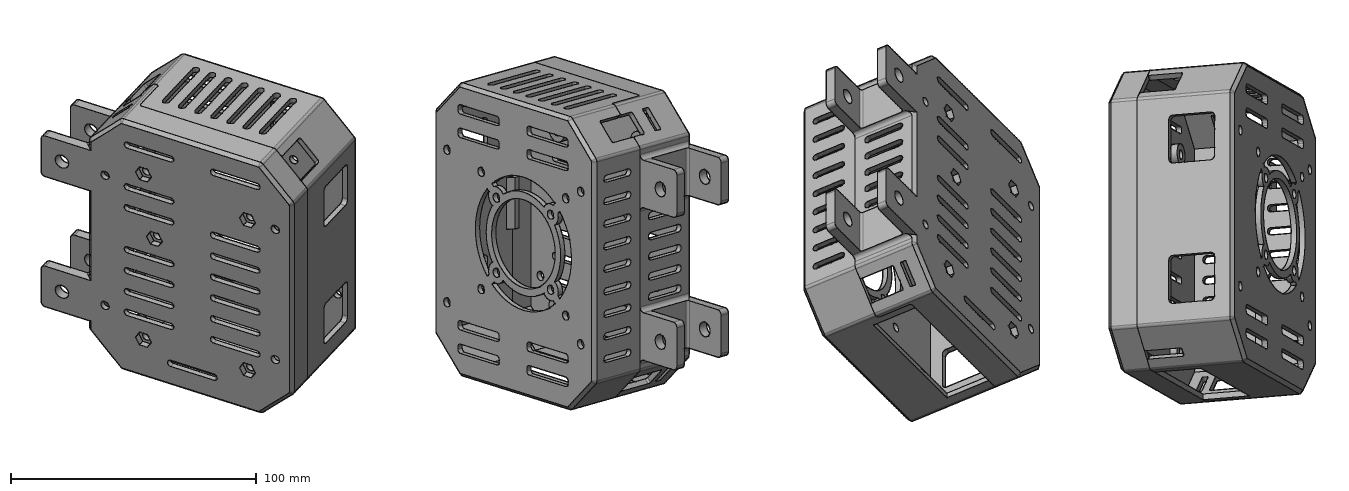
import cadquery as cq
import math

width = 95.0
depth = 54.8
height = 125.0
corner_cut = 15.0
corner_radius = 2.0
edge_chamfer = 1.5
wall = 2.4

split_left = 29.0
split_right = 12.8
split_step_x = 17.0
split_radius = 1.0

lug_reach = 21.7
lug_height = 20.3
lug_thickness = 4.2
lug_corner = 2.0
lug_hole = 6.2
lug_hole_x = -12.0
lug_levels = (30.0, 95.0)
pad = 2.0
pad_root = 1.0

screw_hole = 3.8
screw_inset = 8.0

board_x = 25.8
board_z = 19.0
board_offsets = ((0, 0), (0, 82.55), (5.08, 52.07), (48.26, 1.27), (48.26, 76.2))
board_points = [(board_x + dx, board_z + dz) for dx, dz in board_offsets]
nut_flats = 6.3
nut_pocket_depth = 2.8
standoff_diameter = 9.0
standoff_top = 5.5

slot_width = 3.0
slot_length = 23.0
front_columns = (28.4, 68.4)
front_pitch = 10.45
front_first_row = 30.0
left_rows = (0, 1, 2, 3, 5, 6, 8)
right_rows = (0, 1, 2, 3, 4, 5, 8)
low_slot = (48.5, 11.5)

base_side_slot = (6.0, 24.3)
base_side_width = 3.3
base_side_pitch = 8.6
base_side_count = 5
cover_side_slot = (34.2, 49.3)
cover_side_pitch = 9.6
cover_side_count = 9
top_slot = (19.2, 47.4)
top_slot_pitch = 7.5
top_slot_count = 7

fan_x = 41.8
fan_z = 65.2
fan_bore_radius = 18.8
fan_ring_radius = 22.0
fan_outer_radius = 28.4
small_fan_spacing = 32.0
large_fan_spacing = 50.0
fan_boss_radius = 4.6
fan_spoke = 4.0

back_columns = (27.6, 68.3)
back_slot = (24.4, 4.0)
back_corner = 1.5
back_rows = (12.0, 22.0, 104.0, 114.0)

port_size = 20.0
port_y = 36.6
port_corner = 2.0
port_levels = (33.3, 91.8)

floor_opening = (20.0, 75.0)
floor_opening_top = 33.0

catch_y = (10.9, 16.0)
catch_lead = 2.8
catch_height = 22.0
catch_depth = 2.0

window_corner = 0.8
slit_corner = 0.4
window_span = (3.8, 11.4)
upper_window_base = (22.8, split_left)
upper_window_cover = (split_left, 40.9)
upper_slit = (13.7, 16.9)
lower_window = (12.9, split_left)
lower_slit = (7.0, 9.6)
right_upper_span = (3.0, 12.0)
right_lower_span = (8.5, 11.4)
right_upper_window = (split_right, 28.2)
right_lower_window = (split_right, 29.0)

middle_z = height / 2


def outline(inset):
    """Cut-corner block along Y, set in from the envelope by a wall thickness."""
    cut = corner_cut - inset * (2 - math.sqrt(2))
    return (
        cq.Workplane("XZ")
        .center(width / 2, middle_z)
        .rect(width - 2 * inset, height - 2 * inset)
        .extrude(-depth)
        .edges("|Y")
        .chamfer(cut)
    )


def block(x0, x1, y0, y1, z0, z1):
    return cq.Workplane("XY").box(x1 - x0, y1 - y0, z1 - z0, centered=False).translate((x0, y0, z0))


def along_y(y0, y1, points):
    """XZ workplane at y0 with points given as (x, z), and the extrusion length to y1."""
    return cq.Workplane("XZ", origin=(0, y0, 0)).pushPoints(points), -(y1 - y0)


def rods(y0, y1, points, diameter):
    plane, length = along_y(y0, y1, points)
    return plane.circle(diameter / 2).extrude(length)


def slots_y(y0, y1, points):
    plane, length = along_y(y0, y1, points)
    return plane.slot2D(slot_length, slot_width).extrude(length)


def left_wall_slots(span, slot, pitch, count):
    """Horizontal slots through the left wall, stacked about mid height."""
    plane = cq.Workplane("YZ", origin=(-pad, (span[0] + span[1]) / 2, middle_z))
    return plane.rarray(1, pitch, 1, count).slot2D(span[1] - span[0], slot).extrude(2 * pad + wall)


def slit(span, y0, y1):
    """Closed window cutter about the origin, with span as its X range on the sloped wall."""
    length = (span[1] - span[0]) * math.sqrt(2)
    cutter = cq.Workplane("XY", origin=(0, 0, -wall)).center(0, (y0 + y1) / 2)
    return cutter.rect(length, y1 - y0).extrude(2 * wall).edges("|Z").fillet(slit_corner)


def notch(span, closed_y, open_y):
    """Window cutter open at the split line, where its mouth is rounded outwards."""
    half = (span[1] - span[0]) / math.sqrt(2)
    radius = math.copysign(window_corner, open_y - closed_y)
    return (
        cq.Workplane("XY", origin=(0, 0, -wall))
        .moveTo(-half - window_corner, open_y)
        .radiusArc((-half, open_y - radius), radius)
        .lineTo(-half, closed_y + radius)
        .radiusArc((-half + window_corner, closed_y), -radius)
        .lineTo(half - window_corner, closed_y)
        .radiusArc((half, closed_y + radius), -radius)
        .lineTo(half, open_y - radius)
        .radiusArc((half + window_corner, open_y), radius)
        .close()
        .extrude(2 * wall)
    )


def on_corner(cutter, span, x_side, z_side):
    """Lay a window cutter on the sloped wall at the given X and Z sides (-1 or 1)."""
    inward = (span[0] + span[1]) / 2
    x = inward if x_side < 0 else width - inward
    z = corner_cut - inward if z_side < 0 else height - corner_cut + inward
    tilt = 45 * x_side * z_side
    return cutter.rotate((0, 0, 0), (0, 1, 0), tilt).translate((x, 0, z))


def make_shell():
    outer = outline(0).edges("|Y").fillet(corner_radius)
    outer = outer.faces("<Y or >Y").chamfer(edge_chamfer)
    cavity = outline(wall).intersect(block(0, width, wall, depth - wall, 0, height))
    return outer.cut(cavity)


def base_region():
    """Space below the stepped split line."""
    profile = (
        cq.Workplane("XY", origin=(0, 0, -1))
        .moveTo(-1, -1)
        .lineTo(width + 1, -1)
        .lineTo(width + 1, split_right)
        .lineTo(split_step_x, split_right)
        .lineTo(split_step_x, split_left)
        .lineTo(-1, split_left)
        .close()
        .extrude(height + 2)
    )
    inner_corner = cq.selectors.NearestToPointSelector((split_step_x, split_right, middle_z))
    outer_corner = cq.selectors.NearestToPointSelector((split_step_x, split_left, middle_z))
    return profile.edges(inner_corner).fillet(split_radius).edges(outer_corner).fillet(split_radius)


def make_lug_pair(level):
    """Two plates joined by a pad that flares into the left wall."""
    half = lug_height / 2
    flare = (
        cq.Workplane("XZ")
        .moveTo(0, level - half - pad)
        .radiusArc((-pad, level - half), -pad)
        .lineTo(-pad, level + half)
        .radiusArc((0, level + half + pad), -pad)
        .lineTo(wall, level + half + pad)
        .lineTo(wall, level - half - pad)
        .close()
        .extrude(-split_left)
    )
    keep = (
        cq.Workplane("XY")
        .moveTo(-pad, edge_chamfer + pad)
        .lineTo(wall, edge_chamfer - wall)
        .lineTo(wall, split_left)
        .lineTo(-pad, split_left)
        .close()
        .extrude(height)
    )
    lugs = flare.intersect(keep)
    for y in (0, split_left - lug_thickness):
        lug = block(-lug_reach, edge_chamfer, y, y + lug_thickness, level - half, level + half)
        lug = lug.edges("|Y and <X").fillet(lug_corner)
        lugs = lugs.union(lug)
    lugs = lugs.cut(rods(-1, split_left + 1, [(lug_hole_x, level)], lug_hole))
    root_y = (lug_thickness, split_left - lug_thickness)
    for y in root_y:
        lugs = lugs.edges(cq.selectors.NearestToPointSelector((-pad, y, level))).fillet(pad_root)
    return lugs


def make_catch():
    """Ledge behind the right wall with a sloped lead-in above the split."""
    inside = width - wall
    return (
        cq.Workplane("XY", origin=(0, 0, middle_z - catch_height / 2))
        .moveTo(inside, catch_y[0])
        .lineTo(inside - catch_depth, catch_y[0])
        .lineTo(inside - catch_depth, catch_y[1] - catch_lead)
        .lineTo(inside, catch_y[1])
        .close()
        .extrude(catch_height)
    )


def front_vents():
    first, pitch = front_first_row, front_pitch
    points = [(front_columns[0], first + row * pitch) for row in left_rows]
    points += [(front_columns[1], first + row * pitch) for row in right_rows]
    return slots_y(-1, wall + 1, points + [low_slot])


def make_standoffs():
    return rods(0, standoff_top, board_points, standoff_diameter)


def nut_pockets():
    plane, length = along_y(-1, nut_pocket_depth, board_points)
    hexes = plane.polygon(6, nut_flats / math.cos(math.pi / 6)).extrude(length)
    return hexes.union(rods(-1, standoff_top + 1, board_points, screw_hole))


def fan_grille():
    """Ring-and-spoke opening with both fan bolt patterns."""
    y0, y1 = depth - 2 * wall, depth + 1

    def disc(radius):
        return rods(y0, y1, [(fan_x, fan_z)], 2 * radius)

    def pattern(spacing):
        half = spacing / 2
        return [(fan_x + i * half, fan_z + j * half) for i in (-1, 1) for j in (-1, 1)]

    vents = disc(fan_outer_radius).cut(disc(fan_ring_radius))
    vents = vents.cut(rods(y0, y1, pattern(small_fan_spacing), 2 * fan_boss_radius))
    for angle in (45, -45):
        spoke = cq.Workplane("XY").box(2 * fan_outer_radius, 4 * depth, fan_spoke)
        spoke = spoke.rotate((0, 0, 0), (0, 1, 0), angle).translate((fan_x, depth, fan_z))
        vents = vents.cut(spoke)
    vents = vents.union(disc(fan_bore_radius))
    bolts = rods(y0, y1, pattern(small_fan_spacing) + pattern(large_fan_spacing), screw_hole)
    return vents.union(bolts)


def back_vents():
    plane, length = along_y(depth - 2 * wall, depth + 1, [(x, z) for x in back_columns for z in back_rows])
    return plane.rect(*back_slot).extrude(length).edges("|Y").fillet(back_corner)


def screw_holes():
    points = [(x, z) for x in (screw_inset, width - screw_inset) for z in lug_levels]
    return rods(-1, depth + 1, points, screw_hole)


def top_slots():
    middle = (top_slot[0] + top_slot[1]) / 2
    return (
        cq.Workplane("XY", origin=(width / 2, middle, height - 2 * wall))
        .rarray(top_slot_pitch, 1, top_slot_count, 1)
        .slot2D(top_slot[1] - top_slot[0], slot_width, 90)
        .extrude(3 * wall)
    )


def right_ports():
    plane = cq.Workplane("YZ", origin=(width - 2 * wall, 0, 0))
    ports = plane.pushPoints([(port_y, z) for z in port_levels]).rect(port_size, port_size).extrude(3 * wall)
    return ports.edges("|X").fillet(port_corner)


shell = make_shell()
region = base_region()

base = shell.intersect(region)
for level in lug_levels:
    base = base.union(make_lug_pair(level))
base = base.union(make_catch())
base = base.union(make_standoffs())
base = base.cut(front_vents()).cut(nut_pockets()).cut(screw_holes())
base = base.cut(left_wall_slots(base_side_slot, base_side_width, base_side_pitch, base_side_count))
base = base.cut(on_corner(notch(window_span, *upper_window_base), window_span, -1, 1))
base = base.cut(on_corner(slit(window_span, *upper_slit), window_span, -1, 1))
base = base.cut(on_corner(notch(window_span, *lower_window), window_span, -1, -1))
base = base.cut(on_corner(slit(window_span, *lower_slit), window_span, -1, -1))

cover = shell.cut(region)
cover = cover.cut(fan_grille()).cut(back_vents()).cut(screw_holes())
cover = cover.cut(left_wall_slots(cover_side_slot, slot_width, cover_side_pitch, cover_side_count))
cover = cover.cut(top_slots()).cut(right_ports())
cover = cover.cut(on_corner(notch(window_span, *reversed(upper_window_cover)), window_span, -1, 1))
cover = cover.cut(on_corner(notch(right_upper_span, *reversed(right_upper_window)), right_upper_span, 1, 1))
cover = cover.cut(on_corner(notch(right_lower_span, *reversed(right_lower_window)), right_lower_span, 1, -1))
cover = cover.cut(block(*floor_opening, 0, floor_opening_top, -1, 2 * wall))

result = cq.Compound.makeCompound([base.val(), cover.val()])